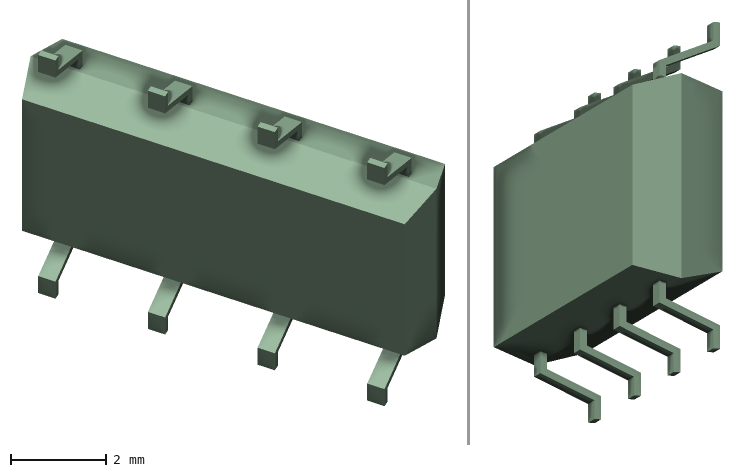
import cadquery as cq
import math

body_length = 9.4
body_height = 4.4
half_depth = 1.0
draft_angle = 15.0

leads_per_side = 4
lead_pitch = 2.54
lead_width = 0.4
lead_thickness = 0.15
lead_span = 7.0
standoff = 0.1
shoulder_back_y = 0.25
shoulder_bend_z = 2.5
foot_length = 0.5

shoulder_front_y = shoulder_back_y - lead_thickness
foot_front_y = -(half_depth + standoff)
foot_back_y = foot_front_y + lead_thickness
tip_z = lead_span / 2
foot_bend_z = tip_z - foot_length

bend_angle = math.atan2(shoulder_front_y - foot_front_y, foot_bend_z - shoulder_bend_z)
bend_offset = lead_thickness * math.tan(bend_angle / 2)


def make_body_half(y_direction):
    """Half of the body, narrowing from the parting plane toward +Y or -Y."""
    plane = cq.Plane(origin=(0, 0, 0), xDir=(1, 0, 0), normal=(0, y_direction, 0))
    return (
        cq.Workplane(plane)
        .rect(body_length, body_height)
        .extrude(half_depth, taper=draft_angle)
    )


def make_top_lead(x_center):
    """Lead on the +Z side; its root starts inside the body at Z = 0."""
    profile = [
        (shoulder_back_y, 0),
        (shoulder_back_y, shoulder_bend_z + bend_offset),
        (foot_back_y, foot_bend_z + bend_offset),
        (foot_back_y, tip_z),
        (foot_front_y, tip_z),
        (foot_front_y, foot_bend_z),
        (shoulder_front_y, shoulder_bend_z),
        (shoulder_front_y, 0),
    ]
    return (
        cq.Workplane("YZ", origin=(x_center, 0, 0))
        .polyline(profile)
        .close()
        .extrude(lead_width / 2, both=True)
    )


result = make_body_half(1).union(make_body_half(-1))

for index in range(leads_per_side):
    x_center = (index - (leads_per_side - 1) / 2) * lead_pitch
    top_lead = make_top_lead(x_center)
    bottom_lead = top_lead.mirror("XY")
    result = result.union(top_lead).union(bottom_lead)